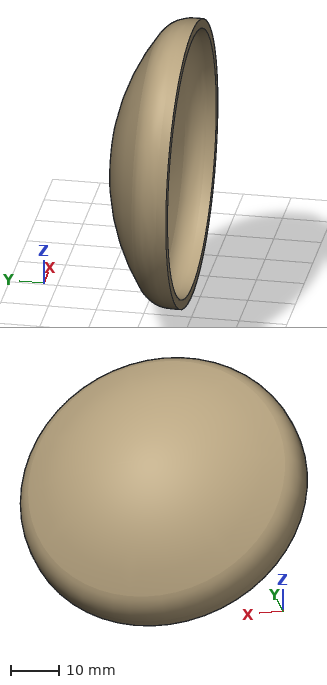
import cadquery as cq
import math

outer_radius = 30.15
total_height = 16.5
wall = 2.0
skirt_length = 2.0
knuckle_radius = 7.0

dish_height = total_height - skirt_length
knuckle_center_x = outer_radius - knuckle_radius
crown_radius = (knuckle_center_x**2 + dish_height**2 - knuckle_radius**2) / (
    2 * (dish_height - knuckle_radius)
)
crown_center_y = total_height - crown_radius

junction_angle = math.atan2(knuckle_center_x, skirt_length - crown_center_y)


def crown_point(inset, angle):
    """Point on the crown, inset from its outer surface, at an angle from the Y axis."""
    radius = crown_radius - inset
    return radius * math.sin(angle), crown_center_y + radius * math.cos(angle)


def knuckle_middle(inset):
    """Point halfway along the knuckle arc, inset from its outer surface."""
    radius = knuckle_radius - inset
    angle = (junction_angle + math.pi / 2) / 2
    return knuckle_center_x + radius * math.sin(angle), skirt_length + radius * math.cos(angle)


section = (
    cq.Workplane("XY")
    .moveTo(outer_radius, 0)
    .lineTo(outer_radius, skirt_length)
    .threePointArc(knuckle_middle(0), crown_point(0, junction_angle))
    .threePointArc(crown_point(0, junction_angle / 2), crown_point(0, 0))
    .lineTo(*crown_point(wall, 0))
    .threePointArc(crown_point(wall, junction_angle / 2), crown_point(wall, junction_angle))
    .threePointArc(knuckle_middle(wall), (outer_radius - wall, skirt_length))
    .lineTo(outer_radius - wall, 0)
    .close()
)

result = section.revolve(360, (0, 0, 0), (0, 1, 0))